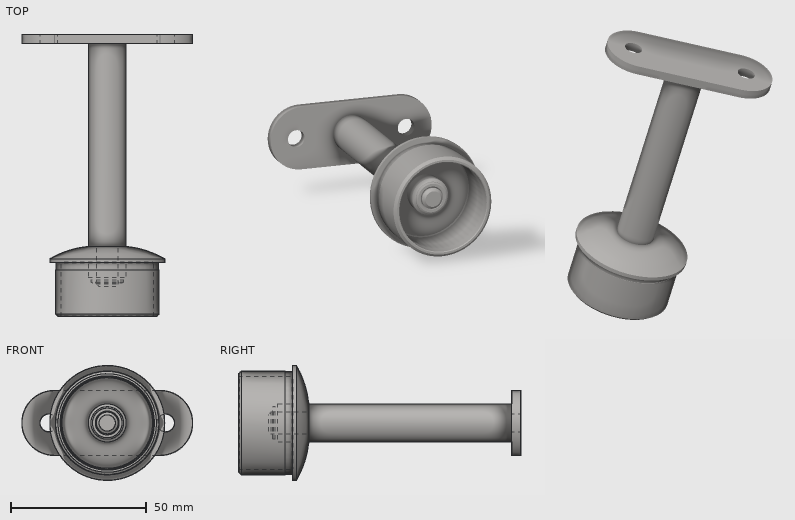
import cadquery as cq

total_length = 104.03
front_y = -total_length / 2
back_y = total_length / 2

plate_length = 63.0
plate_width = 24.0
plate_thickness = 3.4
screw_hole_spacing = 43.0
screw_hole_diameter = 6.5
plate_front_y = back_y - plate_thickness

post_diameter = 14.0

cup_diameter = 38.3
cup_bore_diameter = 34.2
groove_diameter = 37.9
flange_diameter = 42.4
dome_middle_diameter = 29.5
rim_chamfer = 1.0
bore_rim_chamfer = 0.3
floor_chamfer = 0.4
groove_depth = 17.1
flange_front_depth = 19.85
floor_depth = 20.1
flange_back_depth = 21.3
dome_middle_depth = 24.2
dome_end_depth = 25.9
post_front_y = front_y + dome_end_depth

boss_diameter = 14.0
boss_neck_diameter = 12.0
boss_face_diameter = 10.9
boss_face_depth = 12.4
boss_neck_start = 0.3
boss_neck_end = 1.0
boss_shoulder_end = 2.0
boss_hole_chamfer = 0.4

stud_diameter = 8.0
stud_tip_diameter = 6.0
stud_tip_depth = 11.0


def rod(diameter, start_y, end_y):
    """Solid cylinder along Y."""
    return cq.Workplane("XZ", origin=(0, start_y, 0)).circle(diameter / 2).extrude(start_y - end_y)


def make_plate():
    """Round-ended plate with two screw holes."""
    hole_x = screw_hole_spacing / 2
    return (
        cq.Workplane("XZ", origin=(0, back_y, 0))
        .slot2D(plate_length, plate_width)
        .pushPoints([(-hole_x, 0), (hole_x, 0)])
        .circle(screw_hole_diameter / 2)
        .extrude(plate_thickness)
    )


def make_post():
    """Plain round post between the dome and the plate."""
    return rod(post_diameter, post_front_y, plate_front_y)


def make_cap():
    """Domed cap with its cup and boss, turned about Y from one (radius, y) outline."""
    bore_radius = cup_bore_diameter / 2
    cup_radius = cup_diameter / 2
    groove_radius = groove_diameter / 2
    flange_radius = flange_diameter / 2
    hole_radius = stud_diameter / 2
    boss_radius = boss_diameter / 2
    neck_radius = boss_neck_diameter / 2
    dome_end = (post_diameter / 2, post_front_y)
    dome_middle = (dome_middle_diameter / 2, front_y + dome_middle_depth)
    groove_y = front_y + groove_depth
    flange_y = front_y + flange_front_depth
    floor_y = front_y + floor_depth
    boss_y = front_y + boss_face_depth

    outline = cq.Workplane("XY").moveTo(bore_radius + bore_rim_chamfer, front_y)
    outline = (
        outline.lineTo(cup_radius - rim_chamfer, front_y)
        .lineTo(cup_radius, front_y + rim_chamfer)
        .lineTo(cup_radius, groove_y)
        .lineTo(groove_radius, groove_y)
        .lineTo(groove_radius, flange_y)
        .lineTo(flange_radius, flange_y)
        .lineTo(flange_radius, front_y + flange_back_depth)
        .threePointArc(dome_middle, dome_end)
    )
    outline = (
        outline.lineTo(hole_radius, post_front_y)
        .lineTo(hole_radius, boss_y + boss_hole_chamfer)
        .lineTo(hole_radius + boss_hole_chamfer, boss_y)
        .lineTo(boss_face_diameter / 2, boss_y)
        .lineTo(neck_radius, boss_y + boss_neck_start)
        .lineTo(neck_radius, boss_y + boss_neck_end)
        .lineTo(boss_radius, boss_y + boss_shoulder_end)
        .lineTo(boss_radius, floor_y)
    )
    outline = (
        outline.lineTo(bore_radius - floor_chamfer, floor_y)
        .lineTo(bore_radius, floor_y - floor_chamfer)
        .lineTo(bore_radius, front_y + bore_rim_chamfer)
        .close()
    )
    return outline.revolve(360, (0, 0, 0), (0, 1, 0))


def make_stud():
    """Stud through the boss hole, with a chamfered tip inside the cup."""
    tip_chamfer = (stud_diameter - stud_tip_diameter) / 2
    return rod(stud_diameter, front_y + stud_tip_depth, post_front_y).faces("<Y").chamfer(tip_chamfer)


plate = make_plate()
post = make_post()
cap = make_cap()
stud = make_stud()

result = cq.Compound.makeCompound([plate.val(), post.val(), cap.val(), stud.val()])